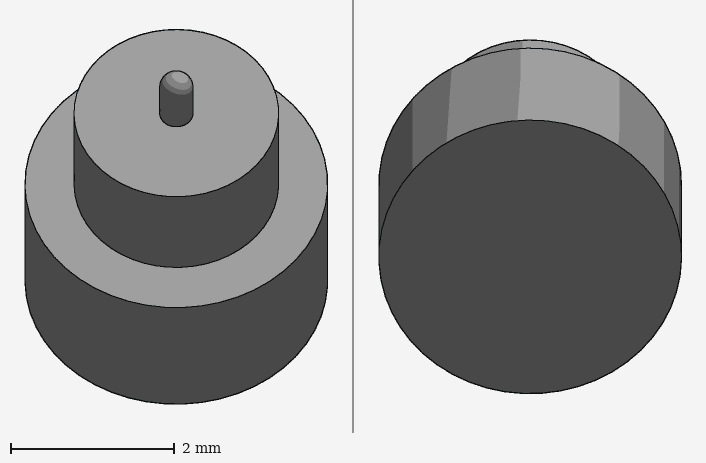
import cadquery as cq

total_height = 4.3
base_diameter = 3.7
base_height = 2.05
collar_diameter = 2.5
collar_height = 1.5
pin_diameter = 0.41

collar_top = base_height + collar_height
pin_length = total_height - collar_top
pin_radius = pin_diameter / 2


def cylinder(diameter, height, bottom):
    """Upright cylinder on the Z axis, starting at the given level."""
    return cq.Workplane("XY").workplane(offset=bottom).circle(diameter / 2).extrude(height)


base = cylinder(base_diameter, base_height, 0)
collar = cylinder(collar_diameter, collar_height, base_height)

shank_length = pin_length - pin_radius
shank = cylinder(pin_diameter, shank_length, collar_top)
tip = cq.Workplane("XY").sphere(pin_radius).translate((0, 0, collar_top + shank_length))

result = base.union(collar).union(shank).union(tip)